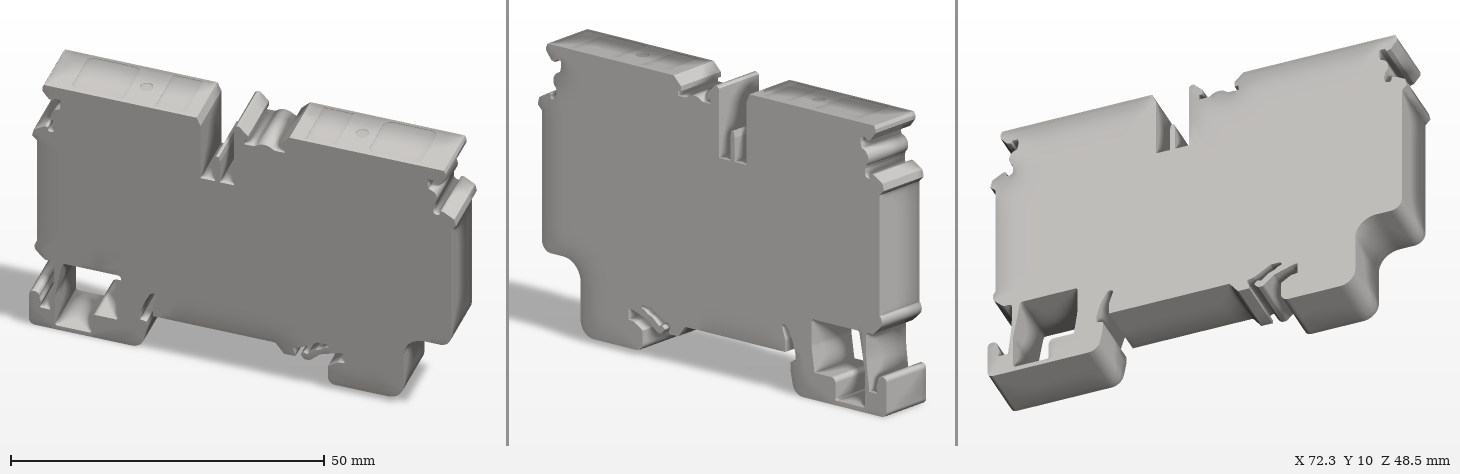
import cadquery as cq
import math

LENGTH = 72.35
WIDTH = 10.0
HEIGHT = 48.5

WALL_LEFT = 1.4
NOSE_LEFT = 0.5
MIRROR_X = (NOSE_LEFT + LENGTH) / 2
WALL_RIGHT = 2 * MIRROR_X - WALL_LEFT
NOSE_RIGHT = LENGTH
NOSE_Z = 37.9
WALL_TOP_Z = NOSE_Z - (WALL_LEFT - NOSE_LEFT)

CUT_CLEARANCE = 0.7

SHOULDER_Z = 13.45
RAIL_Z = 6.8
RIGHT_FOOT_Z = 0.9
RIGHT_FOOT_X = 63.45

SLOT_X = 31.9
SLOT_WIDTH = 5.7
SLOT_FLOOR_Z = 36.55
SLOT_CHAMFER_X = 0.65
SLOT_CHAMFER_Z = 1.5
SLOT_LEFT = SLOT_X - SLOT_WIDTH / 2
SLOT_RIGHT = SLOT_X + SLOT_WIDTH / 2
WALL_TIP_CHAMFER = 0.35
FIN_HALF = 0.4
FIN_TIP_HALF = 0.25
FIN_TOP_Z = 41.5
FIN_TAPER_Z = 40.5

GROOVE_X = 39.9
GROOVE_TOP_HALF = 4.3
GROOVE_NECK_HALF = 2.75
GROOVE_FLOOR_HALF = 3.4
GROOVE_NECK_Z = 46.95
GROOVE_UNDERCUT_Z = 46.1
GROOVE_FLOOR_Z = 45.2
RIB_FOOT_HALF = 1.8
RIB_FOOT_HEIGHT = 0.15
RIB_HALF = 1.45
RIB_HEIGHT = 0.7

RECESS_DEPTH = 0.1
RECESS_MARGIN = 0.6
RECESS_WIDTH = WIDTH - 2 * RECESS_MARGIN
ENTRY_X = 11.3
ENTRY_LENGTH = 9.0
ENTRY_RADIUS = 1.2
TEST_POINT_X = 18.15
TEST_POINT_DIAMETER = 2.2
TOOL_SLOT_X = 23.65
TOOL_SLOT_LENGTH = 5.1


def mirror_x(x):
    return 2 * MIRROR_X - x


def prism(corners):
    """Full-width solid from (x, z) corners; a third value rounds that corner."""
    path = None
    count = len(corners)
    for i, corner in enumerate(corners):
        here = cq.Vector(corner[0], corner[1])
        if len(corner) == 2:
            points = [here]
        else:
            before = cq.Vector(*corners[i - 1][:2])
            after = cq.Vector(*corners[(i + 1) % count][:2])
            to_before = (before - here).normalized()
            to_after = (after - here).normalized()
            half_angle = to_before.getAngle(to_after) / 2
            radius = corner[2]
            setback = radius / math.tan(half_angle)
            tip_gap = radius / math.sin(half_angle) - radius
            bisector = (to_before + to_after).normalized()
            points = [here + to_before * setback, here + bisector * tip_gap, here + to_after * setback]
        flat = [(p.x, p.y) for p in points]
        if path is None:
            path = cq.Workplane("XZ").moveTo(*flat[0])
        else:
            path = path.lineTo(*flat[0])
        if len(flat) > 1:
            path = path.threePointArc(flat[1], flat[2])
    return path.close().extrude(WIDTH / 2, both=True)


def right_side():
    """Corners down the right wall and around the fixed foot to its rail claw."""
    return [
        (NOSE_RIGHT, HEIGHT),
        (NOSE_RIGHT, NOSE_Z),
        (WALL_RIGHT, WALL_TOP_Z),
        (WALL_RIGHT, SHOULDER_Z, 1.9),
        (RIGHT_FOOT_X, SHOULDER_Z, 3.6),
        (RIGHT_FOOT_X, RIGHT_FOOT_Z, 2.7),
        (50.65, RIGHT_FOOT_Z, 1.2),
        (50.65, 4.4, 0.3),
        (52.3, 5.5, 0.6),
        (53.5, 5.65),
        (53.5, 7.6, 0.15),
    ]


def spring_finger():
    """Corners of the slim finger above the right claw and the stop beside it."""
    return [
        (52.6, 7.45, 0.7),
        (49.35, 6.4, 0.7),
        (47.5, 4.7, 0.6),
        (46.7, 4.7, 0.3),
        (45.95, 5.5, 0.3),
        (46.5, 6.1, 0.2),
        (47.2, 5.85, 0.2),
        (48.55, 7.0, 0.35),
        (49.5, 7.4, 0.35),
        (50.15, 7.9, 0.2),
        (50.85, 8.2, 0.2),
        (50.6, 8.6, 0.2),
        (48.85, 8.6, 0.35),
        (46.95, 7.45),
        (45.95, 6.9),
        (44.65, 6.6, 0.3),
        (45.15, 5.5),
        (45.15, 4.9),
        (43.2, 4.9, 0.2),
        (41.75, RAIL_Z),
    ]


def left_foot():
    """Corners of the flexible foot, from the rail face to the left wall."""
    return [
        (21.0, RAIL_Z),
        (21.0, 8.8, 1.45),
        (21.8, 11.35, 0.4),
        (20.7, 11.35, 0.8),
        (19.5, 9.2, 3.6),
        (18.8, 6.8),
        (18.8, 5.65),
        (19.9, 5.4, 0.15),
        (19.9, 4.0, 3.6),
        (19.1, 0.0, 2.2),
        (0.0, 0.0, 0.95),
        (0.0, 6.7, 0.8),
        (1.75, 6.7, 0.8),
        (1.75, 5.65),
        (2.1, 4.8, 0.3),
        (1.75, 3.7, 0.3),
        (3.55, 3.7),
        (4.2, 9.4, 18.1),
        (4.2, SHOULDER_Z, 0.5),
        (2.75, SHOULDER_Z),
        (0.3, 15.8, 1.4),
        (WALL_LEFT, 16.8),
        (WALL_LEFT, WALL_TOP_Z),
        (NOSE_LEFT, NOSE_Z),
        (NOSE_LEFT, HEIGHT),
    ]


def foot_window():
    """Opening that makes the left foot flexible."""
    return prism([
        (5.65, SHOULDER_Z, 0.5),
        (15.55, SHOULDER_Z, 0.5),
        (15.55, 9.0, 3.6),
        (14.9, 4.55),
        (10.55, 4.55, 0.9),
        (10.55, 0.8, 0.3),
        (4.4, 0.8, 0.35),
        (4.4, 6.8, 2.2),
    ])


def edge_grip_corners():
    """Space outside the left marker grip: top lip, round rib and nose."""
    outside = NOSE_LEFT - CUT_CLEARANCE
    return [
        (outside, HEIGHT),
        (2.5, HEIGHT),
        (2.25, 47.9),
        (2.25, 47.25),
        (3.3, 45.9),
        (4.05, 45.65),
        (4.3, 46.15),
        (5.3, 46.15, 0.2),
        (5.35, 45.2),
        (5.15, 44.2),
        (2.45, 43.3, 1.6),
        (4.3, 41.4),
        (4.4, 40.9),
        (4.4, 39.35, 0.7),
        (3.2, 39.35, 0.35),
        (3.2, 40.2, 0.15),
        (2.7, 40.2, 0.2),
        (0.8, 39.15, 0.2),
        (NOSE_LEFT, NOSE_Z),
        (outside, NOSE_Z),
    ]


def edge_grips():
    left = edge_grip_corners()
    right = [(mirror_x(x), *rest) for x, *rest in left]
    return prism(left).union(prism(right))


def centre_slot():
    slot = prism([
        (SLOT_LEFT - SLOT_CHAMFER_X, HEIGHT),
        (SLOT_LEFT, HEIGHT - SLOT_CHAMFER_Z),
        (SLOT_LEFT, SLOT_FLOOR_Z),
        (SLOT_RIGHT, SLOT_FLOOR_Z),
        (SLOT_RIGHT, HEIGHT - WALL_TIP_CHAMFER),
        (SLOT_RIGHT + WALL_TIP_CHAMFER, HEIGHT),
    ])
    fin = prism([
        (SLOT_X - FIN_HALF, SLOT_FLOOR_Z),
        (SLOT_X - FIN_HALF, FIN_TAPER_Z),
        (SLOT_X - FIN_TIP_HALF, FIN_TOP_Z),
        (SLOT_X + FIN_TIP_HALF, FIN_TOP_Z),
        (SLOT_X + FIN_HALF, FIN_TAPER_Z),
        (SLOT_X + FIN_HALF, SLOT_FLOOR_Z),
    ])
    return slot.cut(fin)


def marker_groove():
    """Undercut groove with a round rib along its floor."""
    half = [
        (GROOVE_TOP_HALF, HEIGHT),
        (GROOVE_NECK_HALF, GROOVE_NECK_Z),
        (GROOVE_NECK_HALF, GROOVE_UNDERCUT_Z),
        (GROOVE_FLOOR_HALF, GROOVE_UNDERCUT_Z),
        (GROOVE_FLOOR_HALF, GROOVE_FLOOR_Z),
    ]
    right = [(GROOVE_X + x, z) for x, z in half]
    left = [(GROOVE_X - x, z) for x, z in reversed(half)]
    rib_side_z = GROOVE_FLOOR_Z + RIB_FOOT_HEIGHT
    rib_top_z = GROOVE_FLOOR_Z + RIB_HEIGHT
    rib = (
        cq.Workplane("XZ")
        .moveTo(GROOVE_X - RIB_FOOT_HALF, GROOVE_FLOOR_Z)
        .lineTo(GROOVE_X - RIB_HALF, rib_side_z)
        .threePointArc((GROOVE_X, rib_top_z), (GROOVE_X + RIB_HALF, rib_side_z))
        .lineTo(GROOVE_X + RIB_FOOT_HALF, GROOVE_FLOOR_Z)
        .close()
        .extrude(WIDTH / 2, both=True)
    )
    return prism(right + left).cut(rib)


def block_recess(x, length, floor_z):
    """Box cutter sunk by the recess depth into a face at floor_z."""
    box = cq.Workplane("XY").box(length, RECESS_WIDTH, RECESS_DEPTH, centered=(True, True, False))
    return box.translate((x, 0, floor_z - RECESS_DEPTH))


def top_recesses():
    """Wire entry, round test point and tool slot on each of the two clamping halves."""
    entry = block_recess(ENTRY_X, ENTRY_LENGTH, HEIGHT).edges("|Z").fillet(ENTRY_RADIUS)
    test_point = (
        cq.Workplane("XY", origin=(TEST_POINT_X, 0, HEIGHT - RECESS_DEPTH))
        .circle(TEST_POINT_DIAMETER / 2)
        .extrude(RECESS_DEPTH)
    )
    tool_slot = block_recess(TOOL_SLOT_X, TOOL_SLOT_LENGTH, HEIGHT)
    left = entry.union(test_point).union(tool_slot)
    return left.union(left.mirror("YZ", (MIRROR_X, 0, 0)))


def slot_floor_recesses():
    """One recess on each side of the fin, reaching from the fin to the slot wall."""
    length = SLOT_WIDTH / 2 - FIN_HALF
    offset = FIN_HALF + length / 2
    left = block_recess(SLOT_X - offset, length, SLOT_FLOOR_Z)
    right = block_recess(SLOT_X + offset, length, SLOT_FLOOR_Z)
    return left.union(right)


result = prism(right_side() + spring_finger() + left_foot())
result = result.cut(foot_window())
result = result.cut(edge_grips())
result = result.cut(centre_slot())
result = result.cut(marker_groove())
result = result.cut(top_recesses())
result = result.cut(slot_floor_recesses())